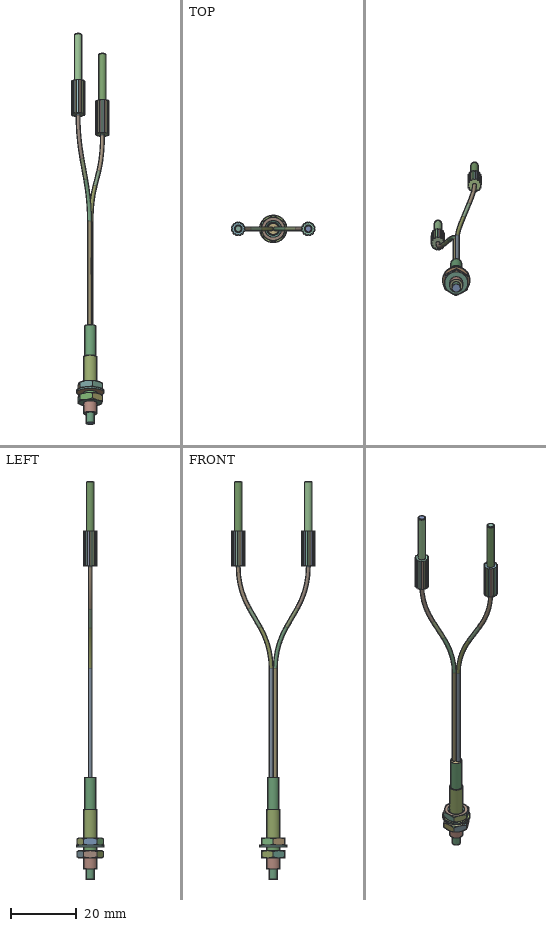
import cadquery as cq
import math

tip_diameter = 2.5
barrel_diameter = 4.0
sleeve_diameter = 3.4
barrel_bottom = 3.1
barrel_top = 21.1
sleeve_top = 30.9

nut_flats = 7.0
nut_height = 2.2
lower_nut_bottom = 6.5
upper_nut_bottom = 10.4
nut_chamfer_angle = 30
countersink_diameter = 5.1
countersink_angle = 45
washer_diameter = 8.3
washer_thickness = 0.6

fibre_radius = 0.6
fibre_offset = 0.64
web_thickness = 0.4
branch_start = 63.9
branch_angle = 30
branch_straight_rise = 5.7

connector_offset = 10.6
grip_bottom = 95.0
grip_height = 10.5
grip_diameter = 4.1
flute_count = 12
flute_radius = 0.2
plug_diameter = 2.3
plug_top = 120.6
plug_chamfer = 0.2


def cylinder(diameter, bottom, top):
    return cq.Workplane("XY").workplane(offset=bottom).circle(diameter / 2).extrude(top - bottom)


def hex_nut(bottom):
    """Hexagon nut with corners on the Y axis, chamfered rims and a countersunk top."""
    corner_radius = nut_flats / 2 / math.cos(math.radians(30))
    face_radius = nut_flats / 2
    chamfer_height = (corner_radius - face_radius) * math.tan(math.radians(nut_chamfer_angle))
    top = bottom + nut_height
    sink_radius = countersink_diameter / 2
    sink_floor = top - sink_radius * math.tan(math.radians(countersink_angle))
    hexagon = (
        cq.Workplane("XY")
        .workplane(offset=bottom)
        .transformed(rotate=(0, 0, 90))
        .polygon(6, 2 * corner_radius)
        .extrude(nut_height)
    )
    envelope = (
        cq.Workplane("XZ")
        .moveTo(0, bottom)
        .lineTo(face_radius, bottom)
        .lineTo(corner_radius, bottom + chamfer_height)
        .lineTo(corner_radius, top - chamfer_height)
        .lineTo(face_radius, top)
        .lineTo(sink_radius, top)
        .lineTo(0, sink_floor)
        .close()
        .revolve(360, (0, 0, 0), (0, 1, 0))
    )
    return hexagon.intersect(envelope)


def make_sensor_head():
    head = cylinder(tip_diameter, 0, barrel_bottom)
    head = head.union(cylinder(barrel_diameter, barrel_bottom, barrel_top))
    head = head.union(cylinder(sleeve_diameter, barrel_top, sleeve_top))
    head = head.union(cylinder(washer_diameter, upper_nut_bottom - washer_thickness, upper_nut_bottom))
    for nut_bottom in (lower_nut_bottom, upper_nut_bottom):
        head = head.union(hex_nut(nut_bottom))
    return head


def make_fibre(side):
    """Fibre that runs straight up, then swings outward in an S-bend to its connector."""
    angle = math.radians(branch_angle)
    spread = connector_offset - fibre_offset
    straight_spread = branch_straight_rise * math.tan(angle)
    bend_spread = (spread - straight_spread) / 2
    bend_radius = bend_spread / (1 - math.cos(angle))
    bend_rise = bend_radius * math.sin(angle)
    branch_end = branch_start + 2 * bend_rise + branch_straight_rise

    half_spread = bend_radius * (1 - math.cos(angle / 2))
    half_rise = bend_radius * math.sin(angle / 2)
    path = (
        cq.Workplane("XZ")
        .moveTo(side * fibre_offset, branch_start)
        .threePointArc(
            (side * (fibre_offset + half_spread), branch_start + half_rise),
            (side * (fibre_offset + bend_spread), branch_start + bend_rise),
        )
        .lineTo(side * (connector_offset - bend_spread), branch_end - bend_rise)
        .threePointArc(
            (side * (connector_offset - half_spread), branch_end - half_rise),
            (side * connector_offset, branch_end),
        )
    )
    branch = (
        cq.Workplane("XY")
        .workplane(offset=branch_start)
        .center(side * fibre_offset, 0)
        .circle(fibre_radius)
        .sweep(path)
    )
    trunk = cylinder(2 * fibre_radius, sleeve_top, branch_start).translate((side * fibre_offset, 0, 0))
    tail = cylinder(2 * fibre_radius, branch_end, grip_bottom).translate((side * connector_offset, 0, 0))
    return trunk.union(branch).union(tail)


def make_connector(side):
    """Fluted grip with a chamfered round plug on top."""
    grip_top = grip_bottom + grip_height
    grip = cylinder(grip_diameter, grip_bottom, grip_top)
    flutes = (
        cq.Workplane("XY")
        .workplane(offset=grip_bottom)
        .polarArray(grip_diameter / 2, 0, 360, flute_count)
        .circle(flute_radius)
        .extrude(grip_height)
    )
    plug = cylinder(plug_diameter, grip_top, plug_top).faces(">Z").chamfer(plug_chamfer)
    return grip.cut(flutes).union(plug).translate((side * connector_offset, 0, 0))


def make_web():
    """Thin strip that joins the two straight fibres side by side."""
    return (
        cq.Workplane("XY")
        .workplane(offset=sleeve_top)
        .rect(2 * fibre_offset, web_thickness)
        .extrude(branch_start - sleeve_top)
    )


def make_fibre_pair():
    pair = make_web()
    for side in (-1, 1):
        pair = pair.union(make_fibre(side)).union(make_connector(side))
    return pair


sensor_head = make_sensor_head()
fibre_pair = make_fibre_pair()

result = cq.Compound.makeCompound([sensor_head.val(), fibre_pair.val()])